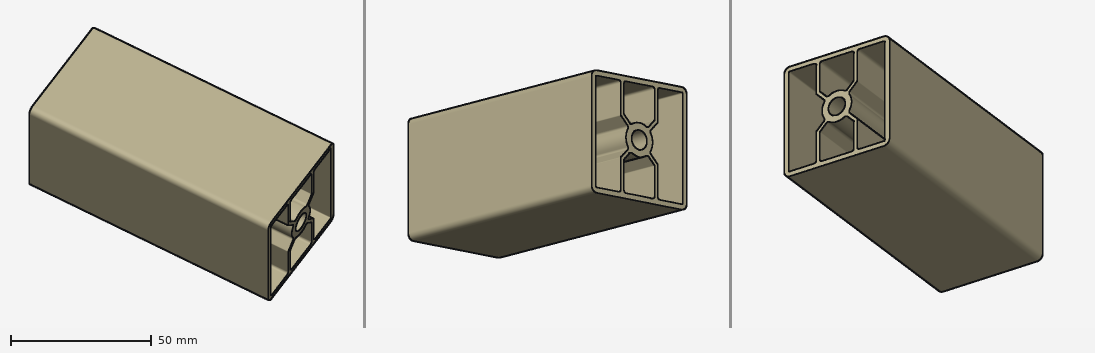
import cadquery as cq
import math

length = 100
side = 45
wall = 2
corner_radius = 2.5

tube_radius = 6.3
bore_radius = 3.6

web_thickness = 1.5
web_center_y = 8
web_root_radius = 1
tube_root_radius = 1
small_radius = 0.5

half_inside = side / 2 - wall
web_inner_y = web_center_y - web_thickness / 2
web_outer_y = web_center_y + web_thickness / 2
diagonal_shift = web_thickness / math.sqrt(2)
start_plane = cq.Workplane("YZ").workplane(offset=-length / 2)


def make_outer_bar():
    bar = start_plane.rect(side, side).extrude(length)
    return bar.edges("|X").fillet(corner_radius)


def make_tube_blank():
    return start_plane.circle(tube_radius).extrude(length)


def edges_in_box(half_y, z_min, z_max):
    """Select edges centred within a symmetric Y range and a Z range."""
    return cq.selectors.BoxSelector((-1, -half_y, z_min), (1, half_y, z_max))


def finish_cavity(outline):
    """Extrude a cavity outline, round its corners and leave the central tube standing."""
    margin = 0.1
    web_reach = web_outer_y + margin
    near_top = edges_in_box(web_reach, half_inside - margin, half_inside + margin)
    near_bottom = edges_in_box(web_reach, -half_inside - margin, -half_inside + margin)
    web_roots = near_top + near_bottom
    near_tube = edges_in_box(tube_radius, -tube_radius, tube_radius)

    cavity = start_plane.polyline(outline).close().extrude(length)
    along_x = cq.selectors.ParallelDirSelector(cq.Vector(1, 0, 0))
    cavity = cavity.edges(along_x - web_roots).fillet(small_radius)
    cavity = cavity.edges("|X").edges(web_roots).fillet(web_root_radius)
    cavity = cavity.cut(make_tube_blank())
    return cavity.edges("|X").edges(near_tube).fillet(tube_root_radius)


def make_middle_cavity():
    """Upper cavity between the two webs."""
    kink_z = web_inner_y + diagonal_shift
    outline = [
        (-web_inner_y, half_inside),
        (-web_inner_y, kink_z),
        (0, diagonal_shift),
        (web_inner_y, kink_z),
        (web_inner_y, half_inside),
    ]
    return finish_cavity(outline)


def make_side_cavity():
    """Cavity between the webs and the +Y wall."""
    kink_z = web_outer_y - diagonal_shift
    outline = [
        (half_inside, half_inside),
        (web_outer_y, half_inside),
        (web_outer_y, kink_z),
        (diagonal_shift, 0),
        (web_outer_y, -kink_z),
        (web_outer_y, -half_inside),
        (half_inside, -half_inside),
    ]
    return finish_cavity(outline)


middle_cavity = make_middle_cavity()
side_cavity = make_side_cavity()

result = make_outer_bar()
for half_turn in (0, 180):
    result = result.cut(middle_cavity.rotate((0, 0, 0), (1, 0, 0), half_turn))
    result = result.cut(side_cavity.rotate((0, 0, 0), (1, 0, 0), half_turn))
result = result.cut(start_plane.circle(bore_radius).extrude(length))